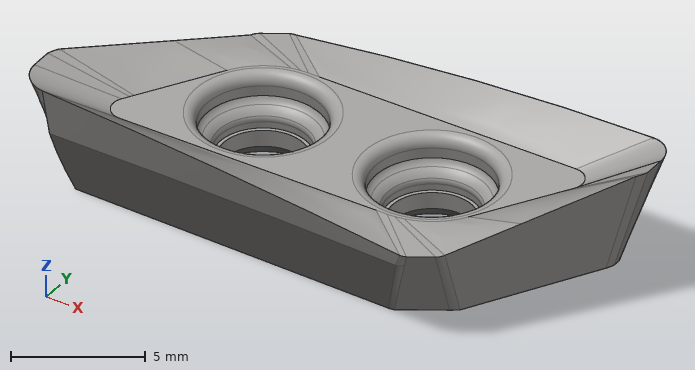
import cadquery as cq
import math


overall_length = 23.0
overall_width = 10.24
height = 5.0
rim_low = 3.55
floor_height = 3.6
long_band_height = 3.0
long_band_crown = 0.12
nose_edge_bow = 0.1

draft = 0.39
long_base_y = -3.75
long_tilt = -0.028
end_base_x = -8.05
end_lean = 0.583
nose_base_x = -9.78

hole_x = 3.75
hole_y = -0.05
mouth_radius = 2.97
mouth_rounding = 0.48
bore_radius = mouth_radius - mouth_rounding
bore_depth = 0.92
seat_top_radius = 2.28
seat_top_depth = 1.17
seat_low_radius = 1.95
seat_low_depth = 1.47
neck_radius = 1.9
neck_depth = 1.7
ledge_depth = 1.98
hole_radius = 1.75
relief_radius = 2.75
relief_height = 0.92
seat_sagitta = 0.02

floor_corner_radius = 3.1
floor_nose_radius = 0.74
floor_end_angle = math.radians(58.5)
facet_share = 0.08
blend_share = 0.12
floor_long_end_x = 3.27
floor_chamfer_angle = 6
floor_blend_angle = 13
end_split_share = 0.4


def long_side(x, z):
    return cq.Vector(x, long_base_y + long_tilt * x - draft * z, z)


def end_face(y, z):
    return cq.Vector(end_base_x + end_lean * y - draft * z, y, z)


def turned(point):
    """The point after half a turn about Z."""
    return cq.Vector(-point.x, -point.y, point.z)


def half_turn(shape):
    return shape.rotate(cq.Vector(0, 0, 0), cq.Vector(0, 0, 1), 180)


def between(a, b, fraction):
    return a + (b - a) * fraction


def line(a, b):
    return cq.Edge.makeLine(a, b)


def arc(a, b, start_direction):
    return cq.Edge.makeTangentArc(a, start_direction, b)


def bowed(a, b, bow):
    """Arc from a to b whose middle is displaced from the chord by bow."""
    return cq.Edge.makeThreePointArc(a, between(a, b, 0.5) + bow, b)


def ruled(first, second):
    return cq.Face.makeRuledSurface(first, second)


def planar(*edges):
    return cq.Face.makeFromWires(cq.Wire.assembleEdges(edges))


def polygon(*points):
    return cq.Face.makeFromWires(cq.Wire.makePolygon(points, close=True))


end_top_base = end_face(2.53, 0)
end_top_rim = end_face(4.2, rim_low)
end_low_base = end_face(-2.71, 0)
end_low_rim = end_face(-2.2, height)
end_direction = end_low_base - end_top_base

nose_top_base = cq.Vector(nose_base_x, -3.05, 0)
nose_top_rim = cq.Vector(-overall_length / 2, -2.67, height)
nose_low_base = cq.Vector(nose_base_x, -3.35, 0)
nose_low_rim = cq.Vector(-overall_length / 2, -3.59, height)
nose_direction = cq.Vector(0, -1, 0)

long_left_base = long_side(-9.75, 0)
long_left_mid = long_side(-10.17, long_band_height)
long_left_rim = cq.Vector(-10.37, -4.8, 4.92)
long_center_rim = cq.Vector(-1.9, -5.05, 4.4)
long_right_base = long_side(4.28, 0)
long_right_mid = long_side(5.35, long_band_height)
long_right_rim = cq.Vector(5.57, -overall_width / 2, rim_low)
long_direction = cq.Vector(1, long_tilt, 0)

chamfer_direction = cq.Vector(0.23, 0.143, 0)
chamfer_left_base = cq.Vector(4.5, -3.85, 0)
chamfer_right_base = chamfer_left_base + chamfer_direction * 7.6
chamfer_left_rim = cq.Vector(5.82, -5.05, rim_low)
chamfer_right_rim = chamfer_left_rim + chamfer_direction * 4.0
chamfer_left_mid = between(chamfer_left_base, chamfer_left_rim, long_band_height / rim_low)

hole_center = cq.Vector(-hole_x, -hole_y, floor_height)
floor_end_direction = cq.Vector(-math.cos(floor_end_angle), -math.sin(floor_end_angle), 0)
floor_end_normal = cq.Vector(-math.sin(floor_end_angle), math.cos(floor_end_angle), 0)
floor_long_y = hole_y - floor_corner_radius
floor_end_top = hole_center + floor_end_normal * floor_corner_radius
floor_end_length = (floor_end_top.y - floor_long_y) / math.sin(floor_end_angle)
floor_apex = floor_end_top + floor_end_direction * floor_end_length
nose_tangent = floor_nose_radius / math.tan(floor_end_angle / 2)
floor_nose_top = floor_apex - floor_end_direction * nose_tangent
floor_nose_right = floor_apex + cq.Vector(nose_tangent, 0, 0)
floor_facet_top = between(floor_nose_top, floor_end_top, facet_share)
floor_blend_top = between(floor_nose_top, floor_end_top, blend_share)
floor_long_right = cq.Vector(floor_long_end_x, floor_long_y, floor_height)


def floor_arc_point(degrees):
    """Point of the obtuse floor corner, at an angle from its foot on the long side."""
    angle = math.radians(degrees)
    offset = cq.Vector(math.sin(angle), -math.cos(angle), 0)
    return turned(hole_center) + offset * floor_corner_radius


def floor_arc(start_degrees, end_degrees):
    angle = math.radians(start_degrees)
    start_direction = cq.Vector(math.cos(angle), math.sin(angle), 0)
    return arc(floor_arc_point(start_degrees), floor_arc_point(end_degrees), start_direction)


end_split_rim = between(end_top_rim, end_low_rim, end_split_share)
next_end_top_base = turned(end_top_base)
next_end_top_rim = turned(end_top_rim)

base_end_blend = arc(end_low_base, nose_top_base, end_direction)
base_nose_arc = arc(nose_low_base, long_left_base, nose_direction)
base_long = line(long_left_base, long_right_base)
base_strip = arc(long_right_base, chamfer_left_base, long_direction)
base_chamfer = line(chamfer_left_base, chamfer_right_base)
base_corner_blend = arc(chamfer_right_base, next_end_top_base, chamfer_direction)
base_edges = [
    line(end_top_base, end_low_base),
    base_end_blend,
    line(nose_top_base, nose_low_base),
    base_nose_arc,
    base_long,
    base_strip,
    base_chamfer,
    base_corner_blend,
]

nose_edge = bowed(long_left_base, long_left_mid, long_direction * -nose_edge_bow)
crown = cq.Vector(0, -draft, 1) * long_band_crown
mid_long = bowed(long_left_mid, long_right_mid, crown)
mid_strip = arc(long_right_mid, chamfer_left_mid, long_direction)

end_rim_run = cq.Vector(end_low_rim.x - end_top_rim.x, end_low_rim.y - end_top_rim.y, 0)
rim_end_blend = arc(end_low_rim, nose_top_rim, end_rim_run)
rim_nose_arc = arc(nose_low_rim, long_left_rim, nose_direction)
rim_long = cq.Edge.makeThreePointArc(long_left_rim, long_center_rim, long_right_rim)
rim_strip = arc(long_right_rim, chamfer_left_rim, cq.Vector(1, 0, 0))
rim_chamfer = line(chamfer_left_rim, chamfer_right_rim)
rim_corner_blend = arc(chamfer_right_rim, next_end_top_rim, chamfer_direction)
rim_edges = [
    line(end_split_rim, end_low_rim),
    rim_end_blend,
    line(nose_top_rim, nose_low_rim),
    rim_nose_arc,
    rim_long,
    rim_strip,
    rim_chamfer,
    rim_corner_blend,
    line(next_end_top_rim, turned(end_split_rim)),
]

nose_corner_edges = [
    base_nose_arc,
    nose_edge,
    line(long_left_mid, long_left_rim),
    rim_nose_arc,
    line(nose_low_rim, nose_low_base),
]
flank_faces = [
    polygon(end_top_base, end_low_base, end_low_rim, end_split_rim, end_top_rim),
    ruled(base_end_blend, rim_end_blend),
    polygon(nose_top_base, nose_low_base, nose_low_rim, nose_top_rim),
    cq.Face.makeNSidedSurface(nose_corner_edges, []),
    planar(base_long, line(long_right_base, long_right_mid), mid_long, nose_edge),
    ruled(mid_long, rim_long),
    ruled(base_strip, mid_strip),
    ruled(mid_strip, rim_strip),
    ruled(base_chamfer, rim_chamfer),
    ruled(base_corner_blend, rim_corner_blend),
]

floor_edges = [
    line(floor_end_top, floor_blend_top),
    line(floor_blend_top, floor_facet_top),
    line(floor_facet_top, floor_nose_top),
    arc(floor_nose_top, floor_nose_right, floor_end_direction),
    line(floor_nose_right, floor_long_right),
    line(floor_long_right, floor_arc_point(0)),
    floor_arc(0, floor_chamfer_angle),
    floor_arc(floor_chamfer_angle, floor_blend_angle),
    floor_arc(floor_blend_angle, math.degrees(floor_end_angle)),
]
dish_faces = [ruled(rim, floor) for rim, floor in zip(rim_edges, floor_edges)]

half_faces = flank_faces + dish_faces
faces = half_faces + [half_turn(face) for face in half_faces]
for edges in (base_edges, floor_edges):
    faces.append(planar(*edges, *[half_turn(edge) for edge in edges]))
body = cq.Solid.makeSolid(cq.Shell.makeShell(faces)).fix()


def screw_hole(x, y):
    """Cutter with a rounded mouth, a crowned screw seat and a relieved through hole."""
    rounding_offset = mouth_rounding * (1 - math.sqrt(0.5))
    profile = (
        cq.Workplane("XZ")
        .lineTo(0, height)
        .lineTo(mouth_radius, height)
        .lineTo(mouth_radius, floor_height)
        .threePointArc(
            (bore_radius + rounding_offset, floor_height - rounding_offset),
            (bore_radius, floor_height - mouth_rounding),
        )
        .lineTo(bore_radius, floor_height - bore_depth)
        .sagittaArc((seat_top_radius, floor_height - seat_top_depth), seat_sagitta)
        .sagittaArc((seat_low_radius, floor_height - seat_low_depth), -seat_sagitta)
        .sagittaArc((neck_radius, floor_height - neck_depth), -seat_sagitta)
        .lineTo(neck_radius, floor_height - ledge_depth)
        .lineTo(hole_radius, floor_height - ledge_depth)
        .lineTo(hole_radius, relief_height)
        .lineTo(relief_radius, 0)
        .close()
    )
    return profile.revolve(360, (0, 0, 0), (0, 1, 0)).translate((x, y, 0))


result = cq.Workplane("XY").newObject([body])
result = result.cut(screw_hole(hole_x, hole_y)).cut(screw_hole(-hole_x, -hole_y))